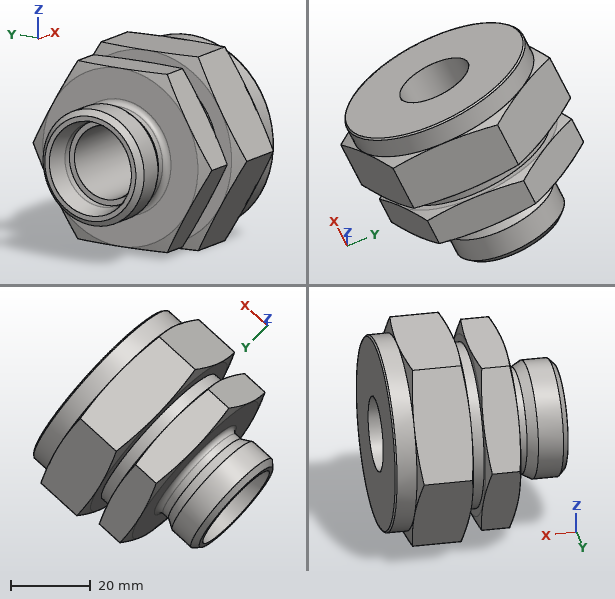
import cadquery as cq
import math


TUBE_END_LAND_END = 7.9
GROOVE_START = 10.5
SMALL_HEX_START = 13.95
SMALL_HEX_END = 23.0
LARGE_HEX_START = 26.5
LARGE_HEX_END = 40.95
TOTAL_LENGTH = 46.4

LARGE_HEX_CORNERS = 57.75
LARGE_HEX_FLATS = LARGE_HEX_CORNERS * math.cos(math.radians(30))
SMALL_HEX_FLATS = 46.0
HEX_CHAMFER_ANGLE = 15.0

TUBE_END_RADIUS = 15.0
TUBE_END_CHAMFER = 1.5
GROOVE_RADIUS = 13.5
GROOVE_FILLET = 1.5
NECK_RADIUS = 21.0
COLLAR_RADIUS = 24.95
COLLAR_CHAMFER = 0.4

MOUTH_RADIUS = 12.2
CONE_HALF_ANGLE = 12.0
SOCKET_RADIUS = 11.0
SOCKET_DEPTH = 7.5
BORE_RADIUS = 9.5


def revolve_about_x(profile):
    """Turn a closed XY profile a full revolution about the X axis."""
    return profile.close().revolve(360, (0, 0, 0), (1, 0, 0))


def hexagon(start, end, across_flats):
    """Hexagonal prism, corners on the Y axis, with turned chamfers on both faces."""
    flat_radius = across_flats / 2
    corner_radius = flat_radius / math.cos(math.radians(30))
    chamfer_length = (corner_radius - flat_radius) * math.tan(math.radians(HEX_CHAMFER_ANGLE))
    prism = (
        cq.Workplane("YZ", origin=(start, 0, 0))
        .polygon(6, 2 * corner_radius)
        .extrude(end - start)
    )
    envelope = revolve_about_x(
        cq.Workplane("XY")
        .moveTo(start, 0)
        .lineTo(start, flat_radius)
        .lineTo(start + chamfer_length, corner_radius)
        .lineTo(end - chamfer_length, corner_radius)
        .lineTo(end, flat_radius)
        .lineTo(end, 0)
    )
    return prism.intersect(envelope)


def turned_body():
    """Tube end, groove with a filleted root, neck and collar, before boring."""
    fillet_start = SMALL_HEX_START - GROOVE_FILLET
    fillet_top = GROOVE_RADIUS + GROOVE_FILLET
    fillet_mid_offset = GROOVE_FILLET * math.sin(math.radians(45))
    return revolve_about_x(
        cq.Workplane("XY")
        .moveTo(0, 0)
        .lineTo(0, TUBE_END_RADIUS - TUBE_END_CHAMFER)
        .lineTo(TUBE_END_CHAMFER, TUBE_END_RADIUS)
        .lineTo(TUBE_END_LAND_END, TUBE_END_RADIUS)
        .lineTo(GROOVE_START, GROOVE_RADIUS)
        .lineTo(fillet_start, GROOVE_RADIUS)
        .threePointArc(
            (fillet_start + fillet_mid_offset, fillet_top - fillet_mid_offset),
            (SMALL_HEX_START, fillet_top),
        )
        .lineTo(SMALL_HEX_START, NECK_RADIUS)
        .lineTo(LARGE_HEX_END, NECK_RADIUS)
        .lineTo(LARGE_HEX_END, COLLAR_RADIUS)
        .lineTo(TOTAL_LENGTH - COLLAR_CHAMFER, COLLAR_RADIUS)
        .lineTo(TOTAL_LENGTH, COLLAR_RADIUS - COLLAR_CHAMFER)
        .lineTo(TOTAL_LENGTH, 0)
    )


def bore():
    """Conical mouth, tube socket and through bore."""
    cone_length = (MOUTH_RADIUS - SOCKET_RADIUS) / math.tan(math.radians(CONE_HALF_ANGLE))
    return revolve_about_x(
        cq.Workplane("XY")
        .moveTo(0, 0)
        .lineTo(0, MOUTH_RADIUS)
        .lineTo(cone_length, SOCKET_RADIUS)
        .lineTo(SOCKET_DEPTH, SOCKET_RADIUS)
        .lineTo(SOCKET_DEPTH, BORE_RADIUS)
        .lineTo(TOTAL_LENGTH, BORE_RADIUS)
        .lineTo(TOTAL_LENGTH, 0)
    )


small_hex = hexagon(SMALL_HEX_START, SMALL_HEX_END, SMALL_HEX_FLATS)
large_hex = hexagon(LARGE_HEX_START, LARGE_HEX_END, LARGE_HEX_FLATS)
result = turned_body().union(small_hex).union(large_hex).cut(bore())